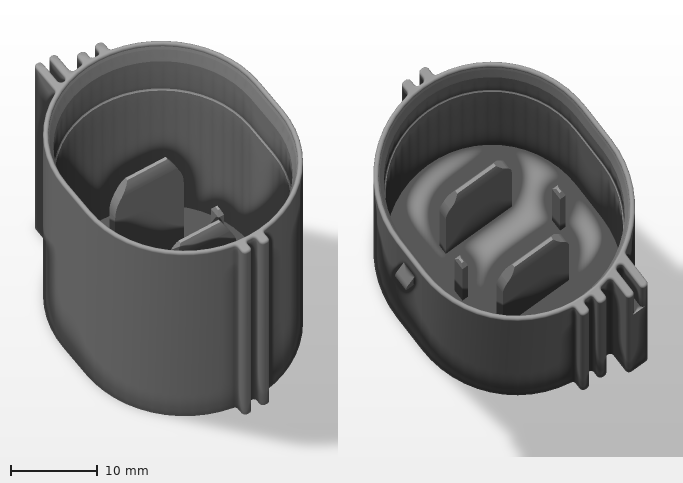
import cadquery as cq
import math

height = 30.4
end_radius = 13.65
straight_half = 2.4
rim_round = 0.3
floor_thickness = 1.15

land_radius = 13.03
lead_in_top_radius = 12.9
lead_in_bottom_radius = 12.52
upper_wall_radius = 12.45
lower_wall_radius = 12.25

land_z = 30.0
lead_in_top_z = 29.6
lead_in_bottom_z = 28.2
upper_wall_z = 27.92
ledge_z = 22.85
ledge_drop = upper_wall_radius - lower_wall_radius

rib_tip_x = 17.52
rib_width = 1.25
rib_offset = 1.25
rib_tip_round = 0.5
rib_root_round = 0.4

block_tip_x = -18.98
block_width = 3.05
block_y = -5.2
block_round = 0.5
slot_width = 0.95
slot_end_x = -15.05
slot_floor_z = 22.55
slot_end_round = 0.499 * slot_width
slot_mouth_round = 0.47

tooth_width = 2.1
tooth_reach = 1.25
tooth_bottom_z = 22.92
tooth_top_z = 26.0
tooth_slope = 60
tooth_round = 2.0

blade_x = 5.5
blade_length = 9.5
blade_thickness = 1.25
blade_top_z = 20.48
blade_tip_length = 5.55
blade_tip_thickness = 0.4
blade_tip_height = 2.0
blade_end_slope = 63
blade_end_round = 5.85

pin_ys = (6.17, -7.9)
pin_length = 1.55
pin_width = 0.8
pin_top_z = 14.6
pin_tip_height = 0.73
pin_tip_length = 0.6
pin_tip_width = 0.3

root_z = floor_thickness / 2
position_tolerance = 0.005
both_sides = (-1, 1)


def stadium_x(y):
    """X reach of the shell's outer face at a given Y."""
    return straight_half + math.sqrt(end_radius**2 - y**2)


def edges_over(solid, points):
    """The Z-parallel edges that stand over any of the given (x, y) points."""
    def is_wanted(edge):
        place = (edge.Center().x, edge.Center().y)
        return any(math.dist(place, point) < position_tolerance for point in points)

    return solid.edges("|Z").filter(is_wanted)


def edges_along_x(solid, y, z):
    """The X-parallel edges that pass through (y, z)."""
    def is_wanted(edge):
        return math.dist((edge.Center().y, edge.Center().z), (y, z)) < position_tolerance

    return solid.edges("|X").filter(is_wanted)


def bar(x_from, x_to, y_centre, width, z_bottom):
    """A block along X that reaches up to the rim."""
    block = cq.Workplane("XY").box(x_to - x_from, width, height - z_bottom, centered=False)
    return block.translate((x_from, y_centre - width / 2, z_bottom))


def make_outside():
    shell = (
        cq.Workplane("XY")
        .slot2D(2 * (straight_half + end_radius), 2 * end_radius)
        .extrude(height)
    )

    rib_tips = []
    rib_roots = []
    for end in both_sides:
        x_from, x_to = sorted((end * straight_half, end * rib_tip_x))
        for side in both_sides:
            rib_y = side * rib_offset
            shell = shell.union(bar(x_from, x_to, rib_y, rib_width, 0))
            for y in (rib_y - rib_width / 2, rib_y + rib_width / 2):
                rib_tips.append((end * rib_tip_x, y))
                rib_roots.append((end * stadium_x(y), y))

    block_inner_x = -2 * straight_half
    shell = shell.union(bar(block_tip_x, block_inner_x, block_y, block_width, 0))
    block_corners = []
    for y in (block_y - block_width / 2, block_y + block_width / 2):
        block_corners.append((block_tip_x, y))
        block_corners.append((-stadium_x(y), y))

    shell = edges_over(shell, rib_roots).fillet(rib_root_round)
    shell = edges_over(shell, rib_tips).fillet(rib_tip_round)
    shell = edges_over(shell, block_corners).fillet(block_round)
    return cut_block_slot(shell)


def cut_block_slot(shell):
    slot_start_x = 2 * block_tip_x - slot_end_x
    slot = bar(slot_start_x, slot_end_x, block_y, slot_width, slot_floor_z)
    shell = shell.cut(slot.edges("|Z and >X").fillet(slot_end_round))
    mouth = [(block_tip_x, block_y + side * slot_width / 2) for side in both_sides]
    return edges_over(shell, mouth).fillet(slot_mouth_round)


def cavity_profile(plane):
    """Half section of the cavity, from its middle out to the wall."""
    return (
        plane.moveTo(0, floor_thickness)
        .lineTo(lower_wall_radius, floor_thickness)
        .lineTo(lower_wall_radius, ledge_z - ledge_drop)
        .lineTo(upper_wall_radius, ledge_z)
        .lineTo(upper_wall_radius, upper_wall_z)
        .lineTo(lead_in_bottom_radius, lead_in_bottom_z)
        .lineTo(lead_in_top_radius, lead_in_top_z)
        .lineTo(land_radius, land_z)
        .lineTo(land_radius, height)
        .lineTo(0, height)
        .close()
    )


def make_cavity():
    """The half section run along the straight stretch and swung round both ends."""
    half_middle = cavity_profile(cq.Workplane("YZ")).extrude(straight_half, both=True)
    cavity = half_middle.union(half_middle.mirror("XZ"))
    for end in both_sides:
        plane = cq.Workplane("YZ", origin=(end * straight_half, 0, 0))
        round_end = cavity_profile(plane).revolve(180, (0, 0), (0, -end))
        cavity = cavity.union(round_end)
    return cavity


def make_tooth():
    tip_y = end_radius + tooth_reach
    shoulder_z = tooth_top_z - tooth_reach * math.tan(math.radians(tooth_slope))
    buried_y = (end_radius + upper_wall_radius) / 2
    outline = [
        (buried_y, tooth_bottom_z),
        (tip_y, tooth_bottom_z),
        (tip_y, shoulder_z),
        (end_radius, tooth_top_z),
        (buried_y, tooth_top_z),
    ]
    tooth = cq.Workplane("YZ").polyline(outline).close().extrude(tooth_width / 2, both=True)
    return edges_along_x(tooth, tip_y, shoulder_z).fillet(tooth_round)


def make_blade():
    """Side outline with sloped ends, crossed with a section that narrows to the tip."""
    half_length = blade_length / 2
    half_tip_length = blade_tip_length / 2
    end_rise = (half_length - half_tip_length) * math.tan(math.radians(blade_end_slope))
    shoulder_z = blade_top_z - end_rise
    outline = [
        (-half_length, root_z),
        (half_length, root_z),
        (half_length, shoulder_z),
        (half_tip_length, blade_top_z),
        (-half_tip_length, blade_top_z),
        (-half_length, shoulder_z),
    ]
    side = cq.Workplane("YZ").polyline(outline).close().extrude(blade_thickness, both=True)
    for y in (-half_length, half_length):
        side = edges_along_x(side, y, shoulder_z).fillet(blade_end_round)

    half_thickness = blade_thickness / 2
    half_tip = blade_tip_thickness / 2
    inset = half_thickness - half_tip
    tip_radius = (inset**2 + blade_tip_height**2) / (2 * inset)
    round_z = blade_top_z - blade_tip_height
    section = (
        cq.Workplane("XZ")
        .moveTo(-half_thickness, root_z)
        .lineTo(half_thickness, root_z)
        .lineTo(half_thickness, round_z)
        .tangentArcPoint((half_tip, blade_top_z), relative=False)
        .lineTo(-half_tip, blade_top_z)
        .radiusArc((-half_thickness, round_z), -tip_radius)
        .close()
        .extrude(half_length, both=True)
    )
    return side.intersect(section)


def make_pin():
    shaft_top_z = pin_top_z - pin_tip_height
    shaft = (
        cq.Workplane("XY", origin=(0, 0, root_z))
        .rect(pin_length, pin_width)
        .extrude(shaft_top_z - root_z)
    )
    tip = (
        cq.Workplane("XY", origin=(0, 0, shaft_top_z))
        .rect(pin_length, pin_width)
        .workplane(offset=pin_tip_height)
        .rect(pin_tip_length, pin_tip_width)
        .loft(ruled=True)
    )
    return shaft.union(tip)


cup = make_outside().cut(make_cavity())
result = cup.faces(">Z").edges().fillet(rim_round).union(make_tooth())
for x in (-blade_x, blade_x):
    result = result.union(make_blade().translate((x, 0, 0)))
for y in pin_ys:
    result = result.union(make_pin().translate((0, y, 0)))